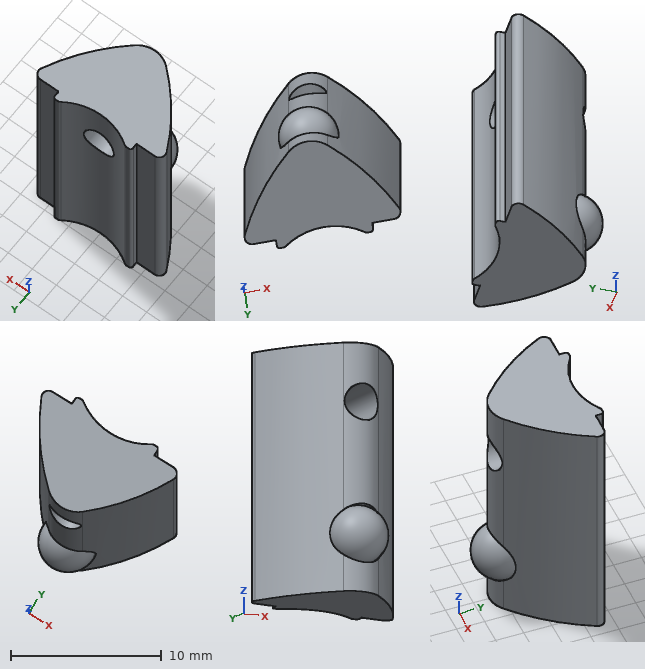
import cadquery as cq
import math

length = 17.0
half_width = 5.25
nose_y = -6.9
nose_radius = 2.0
flank_radius = 16.0
shoulder_y = -0.6
shoulder_radius = 0.5
rail_half_width = 3.25
rail_outer_fillet = 0.2
rail_inner_fillet = 0.34
channel_radius = 4.68
channel_depth = 0.9

hole_diameter = 2.5
hole_z = 13.0
ball_radius = 2.0
ball_z = 4.03
ball_tip_y = -8.1
ball_y = ball_tip_y + ball_radius


def point_beyond(start, through, distance):
    """Point on the ray from start through another point, at a distance from start."""
    span = math.dist(start, through)
    return tuple(a + (b - a) * distance / span for a, b in zip(start, through))


def mirrored(point):
    return (-point[0], point[1])


def flank_arc_points():
    """Nose end, middle and shoulder end of the +X flank arc, tangent to both corner rounds."""
    nose_center = (0, nose_y + nose_radius)
    shoulder_center = (half_width - shoulder_radius, shoulder_y - shoulder_radius)
    nose_distance = flank_radius - nose_radius
    shoulder_distance = flank_radius - shoulder_radius
    span = math.dist(nose_center, shoulder_center)
    along = (nose_distance**2 - shoulder_distance**2 + span**2) / (2 * span)
    across = math.sqrt(nose_distance**2 - along**2)
    ux = (shoulder_center[0] - nose_center[0]) / span
    uy = (shoulder_center[1] - nose_center[1]) / span
    center = (nose_center[0] + along * ux - across * uy, nose_center[1] + along * uy + across * ux)
    nose_end = point_beyond(center, nose_center, flank_radius)
    shoulder_end = point_beyond(center, shoulder_center, flank_radius)
    chord_middle = ((nose_end[0] + shoulder_end[0]) / 2, (nose_end[1] + shoulder_end[1]) / 2)
    return nose_end, point_beyond(center, chord_middle, flank_radius), shoulder_end


def make_profile_solid():
    nose_end, flank_middle, shoulder_end = flank_arc_points()
    shoulder_top = (half_width - shoulder_radius, shoulder_y)
    shoulder_side = (half_width, shoulder_y - shoulder_radius)
    channel_half_width = math.sqrt(2 * channel_radius * channel_depth - channel_depth**2)
    body = (
        cq.Workplane("XY")
        .moveTo(*mirrored(nose_end))
        .threePointArc((0, nose_y), nose_end)
        .threePointArc(flank_middle, shoulder_end)
        .threePointArc(shoulder_side, shoulder_top)
        .lineTo(rail_half_width, shoulder_y)
        .lineTo(rail_half_width, 0)
        .lineTo(channel_half_width, 0)
        .threePointArc((0, -channel_depth), (-channel_half_width, 0))
        .lineTo(-rail_half_width, 0)
        .lineTo(-rail_half_width, shoulder_y)
        .lineTo(*mirrored(shoulder_top))
        .threePointArc(mirrored(shoulder_side), mirrored(shoulder_end))
        .threePointArc(mirrored(flank_middle), mirrored(nose_end))
        .close()
        .extrude(length)
    )
    corner_fillets = ((rail_half_width, rail_outer_fillet), (channel_half_width, rail_inner_fillet))
    for corner_x, radius in corner_fillets:
        for side in (-1, 1):
            corner = cq.selectors.NearestToPointSelector((side * corner_x, 0, length / 2))
            body = body.edges(corner).fillet(radius)
    return body


def make_ball():
    return cq.Workplane("XY").sphere(ball_radius).translate((0, ball_y, ball_z))


def make_cylinder_from(start_y, z, radius, depth):
    """Cylinder along Y that starts at start_y and runs toward -Y."""
    return cq.Workplane("XZ", origin=(0, start_y, z)).circle(radius).extrude(depth)


def make_housing():
    cross_hole = make_cylinder_from(0, hole_z, hole_diameter / 2, -nose_y)
    pocket_bore = make_cylinder_from(ball_y, ball_z, ball_radius, ball_y - nose_y)
    return make_profile_solid().cut(cross_hole).cut(pocket_bore).cut(make_ball())


housing = make_housing().solids()
ball = make_ball()
result = cq.Compound.makeCompound([housing.val(), ball.val()])